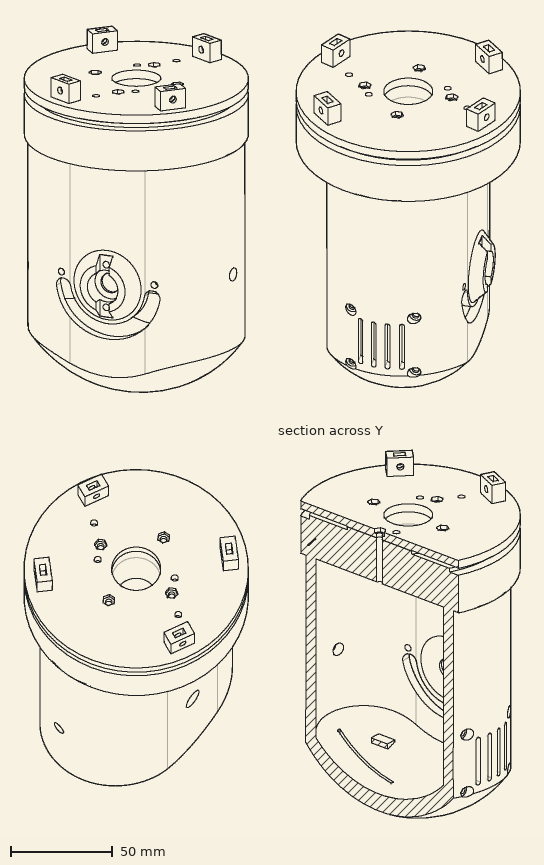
import cadquery as cq
import math

CUT_MARGIN = 1.7
HEXAGON_SIDES = 6

TOP_Z = 170.5
PLATE_TOP_Z = 160.5
PLATE_THICKNESS = 4.5
PLATE_BOTTOM_Z = PLATE_TOP_Z - PLATE_THICKNESS
RIM_TOP_Z = 154.3
COLLAR_TOP_Z = 152.3
COLLAR_BOTTOM_Z = 131.5

COLLAR_DIAMETER = 110.1
RIM_DIAMETER = 100.0
HUB_DIAMETER = 60.4
FLAT_WIDTH = 40.0
BODY_RADIUS = (COLLAR_DIAMETER - FLAT_WIDTH) / 2
FRONT_Y = -BODY_RADIUS
WALL = 5.0
FLOOR = 8.9
DOME_LONG_RADIUS = 66.2
DOME_SHORT_RADIUS = 45.5
BORE_TOP_DIAMETER = 24.0
BORE_DIAMETER = 20.0
BORE_TAPER_Z = 149.4

BOLT_COUNT = 4
BOLT_RADIUS = 22.0
BOLT_DIAMETER = 3.4
NUT_CORNER_DIAMETER = 6.3
NUT_DEPTH = 2.2
PLATE_HOLE_DIAMETER = 3.4
PLATE_HOLE_X = 7.5
PLATE_HOLE_INNER_Y = 18.0
PLATE_HOLE_OUTER_Y = 31.9

KNOB_Z = 64.1
KNOB_TOP_DIAMETER = 24.0
KNOB_HEIGHT = 6.0
KNOB_BASE_DIAMETER = KNOB_TOP_DIAMETER + 2 * KNOB_HEIGHT
STEM_DIAMETER = 34.0
SHAFT_DIAMETER = 10.0
CUP_DIAMETER = 16.4
CUP_DEPTH = 9.4
KEY_WIDTH = 7.0
KEY_LENGTH = 32.0
KEY_DEPTH = 4.5
KEY_HOLE_OFFSET = 11.0
KEY_HOLE_DIAMETER = 3.4

TRACK_RADIUS = 24.0
TRACK_WIDTH = 8.0
TRACK_END_ANGLE = 9.0
MARKER_X = 24.9
MARKER_RISE = 3.4
MARKER_DIAMETER = 3.4

CATCH_WIDTH = 10.4
CATCH_TOP_DROP = 19.5
CATCH_LIP = 1.0
CATCH_HEIGHT = 6.6
CATCH_REACH = 13.6

SCREW_Y = 16.0
SCREW_LOW_Z = 30.7
SCREW_HIGH_Z = 62.4
SCREW_DIAMETER = 3.4
SCREW_HEAD_DIAMETER = 6.0
SCREW_HEAD_X = 48.0
SCREW_END_X = 46.7
VENT_COUNT = 4
VENT_PITCH = 7.0
VENT_WIDTH = 2.4
VENT_LENGTH = 26.1
VENT_Z = 46.4
SIDE_HOLE_DIAMETER = 6.5
SIDE_HOLE_Y = -5.8
SIDE_HOLE_Z = 68.0

DOME_SLOT_START_X = 10.2
DOME_SLOT_END_X = 44.3
DOME_SLOT_WIDTH = 1.7
DOME_SLOT_TOP_Z = 30.7

BLOCK_RADIUS = 46.0
BLOCK_ANGLES = (65, 135, 245, 315)
BLOCK_THICKNESS = 7.5
BLOCK_WIDTH = 13.1
BLOCK_HEIGHT = TOP_Z - PLATE_TOP_Z
BLOCK_HOLE_DIAMETER = 3.4
BLOCK_NUT_FLATS = 5.8
BLOCK_NUT_THICKNESS = 3.0


def disc(diameter, bottom, top):
    return cq.Workplane("XY", origin=(0, 0, bottom)).circle(diameter / 2).extrude(top - bottom)


def rod_y(diameter, x, z, start, end):
    """Cylinder along Y from y = start to y = end."""
    plane = cq.Workplane(cq.Plane((x, start, z), (1, 0, 0), (0, 1, 0)))
    return plane.circle(diameter / 2).extrude(end - start)


def rod_x(diameter, y, z, start, end):
    """Cylinder along X from x = start to x = end."""
    return cq.Workplane("YZ", origin=(start, y, z)).circle(diameter / 2).extrude(end - start)


def bolt_circle():
    return cq.Workplane("XY").polarArray(BOLT_RADIUS, 0, 360, BOLT_COUNT)


def domed_column(inset, bottom_z):
    """Stadium column up to the collar with a doubly curved bottom, shrunk by inset on every side."""
    radius = BODY_RADIUS - inset
    long_radius = DOME_LONG_RADIUS - inset
    short_radius = DOME_SHORT_RADIUS - inset
    axis_z = bottom_z + long_radius
    half_width = radius + CUT_MARGIN
    edge_z = bottom_z + short_radius - math.sqrt(short_radius**2 - half_width**2)
    column = (
        cq.Workplane("XY")
        .slot2D(FLAT_WIDTH + 2 * radius, 2 * radius)
        .extrude(COLLAR_BOTTOM_Z)
    )
    dome = (
        cq.Workplane("YZ")
        .moveTo(-half_width, axis_z)
        .lineTo(-half_width, edge_z)
        .threePointArc((0, bottom_z), (half_width, edge_z))
        .lineTo(half_width, axis_z)
        .close()
        .revolve(360, (0, axis_z, 0), (1, axis_z, 0))
    )
    block_size = 2 * COLLAR_DIAMETER
    upper = cq.Workplane("XY", origin=(0, 0, axis_z)).rect(block_size, block_size).extrude(COLLAR_BOTTOM_Z)
    return column.intersect(dome).union(column.intersect(upper))


def center_bore():
    """Cable bore: straight from the plate down, then narrowing to the inside of the housing."""
    taper = (
        cq.Workplane("XY", origin=(0, 0, BORE_TAPER_Z))
        .circle(BORE_TOP_DIAMETER / 2)
        .workplane(offset=COLLAR_BOTTOM_Z - BORE_TAPER_Z)
        .circle(BORE_DIAMETER / 2)
        .loft()
    )
    return taper.union(disc(BORE_TOP_DIAMETER, BORE_TAPER_Z, PLATE_TOP_Z))


def track_opening():
    """Curved slot with round ends around the lower half of the knob."""
    angle = math.radians(TRACK_END_ANGLE)
    inner = TRACK_RADIUS - TRACK_WIDTH / 2
    outer = TRACK_RADIUS + TRACK_WIDTH / 2
    end_cap = TRACK_WIDTH / 2

    def point(radius, side, turn=0.0):
        """Point on one end of the slot, carried past the end by turn."""
        x = radius * math.cos(angle) + turn * math.sin(angle)
        z = -radius * math.sin(angle) + turn * math.cos(angle)
        return (side * x, z)

    return (
        cq.Workplane("XZ", origin=(0, FRONT_Y + WALL + CUT_MARGIN, KNOB_Z))
        .moveTo(*point(outer, -1))
        .threePointArc((0, -outer), point(outer, 1))
        .threePointArc(point(TRACK_RADIUS, 1, end_cap), point(inner, 1))
        .threePointArc((0, -inner), point(inner, -1))
        .threePointArc(point(TRACK_RADIUS, -1, end_cap), point(outer, -1))
        .close()
        .extrude(WALL + 2 * CUT_MARGIN)
    )


def screw_holes():
    cutter = cq.Workplane("XY")
    outside = -COLLAR_DIAMETER / 2 - CUT_MARGIN
    for y in (-SCREW_Y, SCREW_Y):
        for z in (SCREW_LOW_Z, SCREW_HIGH_Z):
            cutter = cutter.add(rod_x(SCREW_HEAD_DIAMETER, y, z, outside, -SCREW_HEAD_X))
            cutter = cutter.add(rod_x(SCREW_DIAMETER, y, z, outside, -SCREW_END_X))
    return cutter.combine()


def vent_slots():
    return (
        cq.Workplane("YZ", origin=(-COLLAR_DIAMETER / 2 - CUT_MARGIN, 0, VENT_Z))
        .rarray(VENT_PITCH, 1.7, VENT_COUNT, 1)
        .slot2D(VENT_LENGTH, VENT_WIDTH, 90)
        .extrude(COLLAR_DIAMETER / 2 - FLAT_WIDTH / 2)
    )


def dome_slot():
    length = DOME_SLOT_END_X - DOME_SLOT_START_X
    slot = cq.Workplane("XY").box(length, DOME_SLOT_WIDTH, 2 * DOME_SLOT_TOP_Z)
    return slot.translate((DOME_SLOT_START_X + length / 2, 0, 0))


def catch():
    """Wedge with a narrow upright lip and a sloping underside."""
    back_y = BODY_RADIUS - WALL / 2
    front_y = BODY_RADIUS - WALL - CATCH_REACH
    top = KNOB_Z - CATCH_TOP_DROP
    return (
        cq.Workplane("YZ", origin=(-CATCH_WIDTH / 2, 0, 0))
        .polyline([(back_y, top), (front_y, top), (front_y, top - CATCH_LIP), (back_y, top - CATCH_HEIGHT)])
        .close()
        .extrude(CATCH_WIDTH)
    )


def make_housing():
    body = domed_column(0, 0).cut(domed_column(WALL, FLOOR))
    body = body.union(disc(COLLAR_DIAMETER, COLLAR_BOTTOM_Z, COLLAR_TOP_Z))
    body = body.union(disc(RIM_DIAMETER, COLLAR_TOP_Z, RIM_TOP_Z))
    body = body.union(disc(HUB_DIAMETER, RIM_TOP_Z, PLATE_BOTTOM_Z))
    body = body.cut(center_bore())
    bolt_holes = bolt_circle().circle(BOLT_DIAMETER / 2).extrude(TOP_Z)
    body = body.cut(bolt_holes.translate((0, 0, COLLAR_BOTTOM_Z - CUT_MARGIN)))
    outside_y = FRONT_Y - CUT_MARGIN
    inside_y = FRONT_Y + WALL + CUT_MARGIN
    body = body.cut(rod_y(STEM_DIAMETER, 0, KNOB_Z, outside_y, inside_y))
    body = body.cut(rod_y(SHAFT_DIAMETER, 0, KNOB_Z, 0, BODY_RADIUS + CUT_MARGIN))
    body = body.cut(track_opening())
    for x in (-MARKER_X, MARKER_X):
        body = body.cut(rod_y(MARKER_DIAMETER, x, KNOB_Z + MARKER_RISE, outside_y, inside_y))
    body = body.cut(screw_holes())
    body = body.cut(vent_slots())
    body = body.cut(rod_x(SIDE_HOLE_DIAMETER, SIDE_HOLE_Y, SIDE_HOLE_Z, FLAT_WIDTH / 2, COLLAR_DIAMETER))
    body = body.cut(dome_slot())
    return body.union(catch())


def make_knob():
    tip_y = FRONT_Y - KNOB_HEIGHT
    cone = (
        cq.Workplane("XZ", origin=(0, FRONT_Y, KNOB_Z))
        .circle(KNOB_BASE_DIAMETER / 2)
        .workplane(offset=KNOB_HEIGHT)
        .circle(KNOB_TOP_DIAMETER / 2)
        .loft()
    )
    knob = cone.union(rod_y(STEM_DIAMETER, 0, KNOB_Z, FRONT_Y, FRONT_Y + WALL))
    key_slot = cq.Workplane("XY").box(KEY_WIDTH, 2 * KEY_DEPTH, KEY_LENGTH).translate((0, tip_y, KNOB_Z))
    knob = knob.cut(key_slot)
    knob = knob.cut(rod_y(CUP_DIAMETER, 0, KNOB_Z, tip_y, tip_y + CUP_DEPTH))
    knob = knob.cut(rod_y(SHAFT_DIAMETER, 0, KNOB_Z, tip_y, 0))
    for offset in (-KEY_HOLE_OFFSET, KEY_HOLE_OFFSET):
        knob = knob.cut(rod_y(KEY_HOLE_DIAMETER, 0, KNOB_Z + offset, tip_y, 0))
    return knob


def nut_pocket():
    """Hexagonal recess on the X axis with two corners along the bolt circle."""
    pocket = cq.Workplane("XY").polygon(HEXAGON_SIDES, NUT_CORNER_DIAMETER).extrude(NUT_DEPTH)
    return pocket.rotate((0, 0, 0), (0, 0, 1), 90).translate((BOLT_RADIUS, 0, PLATE_TOP_Z - NUT_DEPTH))


def make_plate():
    plate = disc(COLLAR_DIAMETER, PLATE_BOTTOM_Z, PLATE_TOP_Z)
    plate = plate.cut(center_bore())
    plate = plate.cut(bolt_circle().circle(BOLT_DIAMETER / 2).extrude(TOP_Z))
    for index in range(BOLT_COUNT):
        plate = plate.cut(nut_pocket().rotate((0, 0, 0), (0, 0, 1), index * 360 / BOLT_COUNT))
    small_holes = [
        (-PLATE_HOLE_X, PLATE_HOLE_INNER_Y),
        (PLATE_HOLE_X, PLATE_HOLE_OUTER_Y),
        (PLATE_HOLE_X, -PLATE_HOLE_INNER_Y),
        (-PLATE_HOLE_X, -PLATE_HOLE_OUTER_Y),
    ]
    cutter = cq.Workplane("XY").pushPoints(small_holes).circle(PLATE_HOLE_DIAMETER / 2).extrude(TOP_Z)
    return plate.cut(cutter)


def make_block(angle):
    """Block with a hole toward the plate axis and a slot from above for a hexagonal nut."""
    center_z = PLATE_TOP_Z + BLOCK_HEIGHT / 2
    block = cq.Workplane("XY").box(BLOCK_THICKNESS, BLOCK_WIDTH, BLOCK_HEIGHT)
    block = block.cut(rod_x(BLOCK_HOLE_DIAMETER, 0, 0, -BLOCK_THICKNESS, BLOCK_THICKNESS))
    nut_seat = (
        cq.Workplane("YZ", origin=(-BLOCK_NUT_THICKNESS / 2, 0, 0))
        .transformed(rotate=(0, 0, 90))
        .polygon(HEXAGON_SIDES, BLOCK_NUT_FLATS / math.cos(math.pi / 6))
        .extrude(BLOCK_NUT_THICKNESS)
    )
    nut_entry = cq.Workplane("XY").rect(BLOCK_NUT_THICKNESS, BLOCK_NUT_FLATS).extrude(BLOCK_HEIGHT)
    block = block.cut(nut_seat).cut(nut_entry)
    return block.translate((BLOCK_RADIUS, 0, center_z)).rotate((0, 0, 0), (0, 0, 1), angle)


housing = make_housing()
knob = make_knob()
plate = make_plate()
blocks = [make_block(angle) for angle in BLOCK_ANGLES]

result = cq.Compound.makeCompound(
    [body.solids().val() for body in (housing, knob, plate, *blocks)]
)